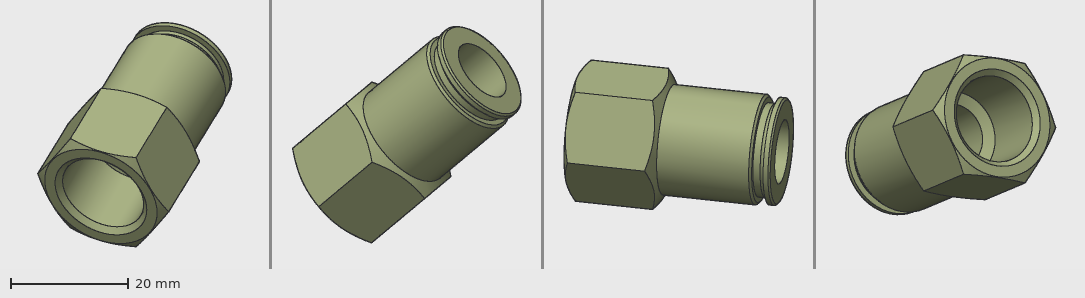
import cadquery as cq
import math

TOTAL_LENGTH = 35.7

HEX_ACROSS_FLATS = 21.0
HEX_LENGTH = 16.0
HEX_FACE_DIAMETER = 20.78
HEX_CHAMFER_ANGLE = 30.0

BODY_DIAMETER = 19.0
BODY_END = 32.5
BODY_CHAMFER = 0.43

NECK_DIAMETER = 16.25
FLANGE_DIAMETER = 18.5
FLANGE_THICKNESS = 1.18
FLANGE_CHAMFER = 0.32
GROOVE_WIDTH = 0.8
GROOVE_DEPTH = 0.25

SOCKET_DIAMETER = 15.0
SOCKET_MOUTH_DIAMETER = 16.95
SOCKET_DEPTH = 13.55
SOCKET_FLOOR_ANGLE = 22.0
THROUGH_DIAMETER = 11.0

body_radius = BODY_DIAMETER / 2
neck_radius = NECK_DIAMETER / 2
flange_radius = FLANGE_DIAMETER / 2
socket_radius = SOCKET_DIAMETER / 2
mouth_radius = SOCKET_MOUTH_DIAMETER / 2
through_radius = THROUGH_DIAMETER / 2
hex_corner_radius = HEX_ACROSS_FLATS / math.sqrt(3)


def revolve_about_y(profile):
    """Revolve a closed (radius, Y) profile about the Y axis."""
    return profile.close().revolve(360, (0, 0, 0), (0, 1, 0))


def make_hexagon():
    """Hexagonal prism with its corners turned down to a cone at both ends."""
    prism = (
        cq.Workplane("XZ")
        .polygon(6, 2 * hex_corner_radius)
        .extrude(-HEX_LENGTH)
    )
    slope = math.tan(math.radians(HEX_CHAMFER_ANGLE))
    face_radius = HEX_FACE_DIAMETER / 2
    front_cone_length = (hex_corner_radius - face_radius) * slope
    rear_cone_length = (hex_corner_radius - body_radius) * slope
    envelope = revolve_about_y(
        cq.Workplane("XY")
        .lineTo(face_radius, 0)
        .lineTo(hex_corner_radius, front_cone_length)
        .lineTo(hex_corner_radius, HEX_LENGTH - rear_cone_length)
        .lineTo(body_radius, HEX_LENGTH)
        .lineTo(0, HEX_LENGTH)
    )
    return prism.intersect(envelope)


def make_body_and_sleeve():
    """Round body behind the hexagon, followed by the release sleeve."""
    flange_start = TOTAL_LENGTH - FLANGE_THICKNESS
    groove_start = flange_start - GROOVE_WIDTH
    groove_middle = (groove_start + flange_start) / 2
    body_start = HEX_LENGTH / 2
    return revolve_about_y(
        cq.Workplane("XY")
        .moveTo(0, body_start)
        .lineTo(body_radius, body_start)
        .lineTo(body_radius, BODY_END - BODY_CHAMFER)
        .lineTo(body_radius - BODY_CHAMFER, BODY_END)
        .lineTo(neck_radius, BODY_END)
        .lineTo(neck_radius, groove_start)
        .threePointArc((neck_radius - GROOVE_DEPTH, groove_middle), (neck_radius, flange_start))
        .lineTo(flange_radius, flange_start)
        .lineTo(flange_radius, TOTAL_LENGTH - FLANGE_CHAMFER)
        .lineTo(flange_radius - FLANGE_CHAMFER, TOTAL_LENGTH)
        .lineTo(0, TOTAL_LENGTH)
    )


def make_bore():
    """Chamfered socket with a conical floor leading into the through hole."""
    mouth_chamfer = mouth_radius - socket_radius
    floor_length = (socket_radius - through_radius) * math.tan(math.radians(SOCKET_FLOOR_ANGLE))
    return revolve_about_y(
        cq.Workplane("XY")
        .lineTo(mouth_radius, 0)
        .lineTo(socket_radius, mouth_chamfer)
        .lineTo(socket_radius, SOCKET_DEPTH)
        .lineTo(through_radius, SOCKET_DEPTH + floor_length)
        .lineTo(through_radius, TOTAL_LENGTH)
        .lineTo(0, TOTAL_LENGTH)
    )


result = make_hexagon().union(make_body_and_sleeve()).cut(make_bore())